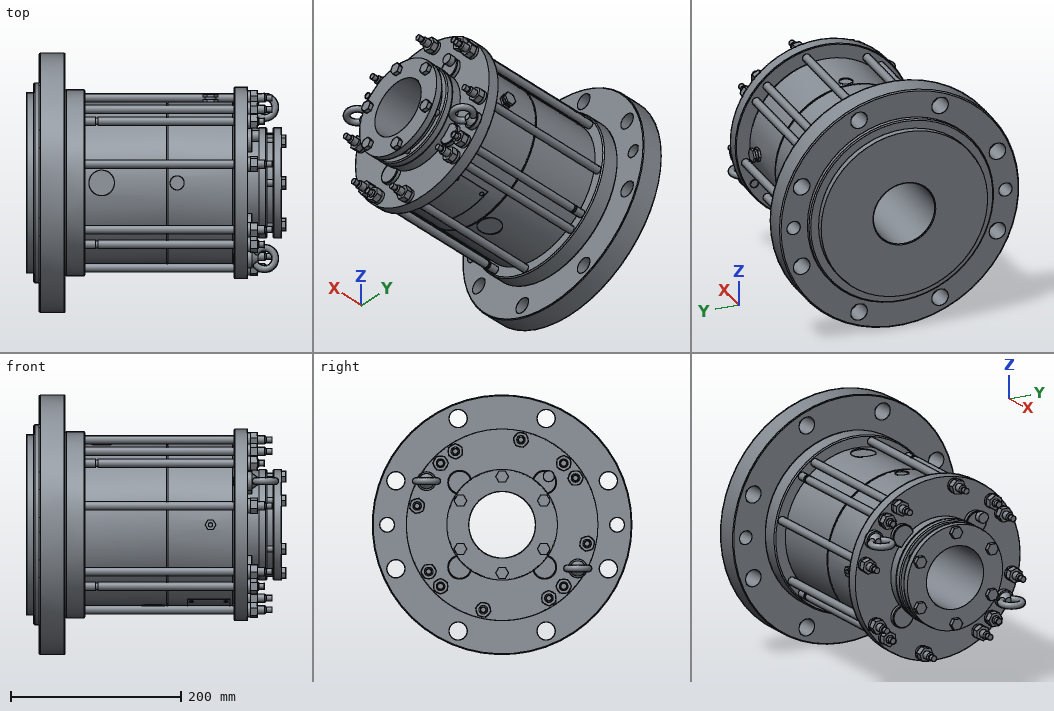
import cadquery as cq
import math


SPIGOT_END = 8.0
REGISTER_END = 14.5
FLANGE_END = 45.0
COLLAR_END = 68.5
BARREL_SPLIT = 165.0
BARREL_END = 241.7
PLATE_START = 243.5
PLATE_END = 259.2
NOSE_END = 272.5
INNER_RING_END = 282.0
NECK_END = 289.0
OUTER_RING_END = 298.87

SPIGOT_DIA = 212.0
REGISTER_DIA = 235.0
FLANGE_DIA = 305.0
COLLAR_DIA = 219.0
BARREL_DIA = 190.0
BARREL_RECESS_DIA = 186.0
PLATE_DIA = 225.0
RING_DIA = 130.0
NOSE_DIA = 128.0
NECK_DIA = 114.0
BORE_DIA = 78.0

EDGE_CHAMFER = 1.5
FINE_CHAMFER = 1.0
BORE_CHAMFER = 1.0
SPLIT_GROOVE_WIDTH = 1.2
SPLIT_GROOVE_DEPTH = 1.5

QUARTER_TURN = 90.0
DIAGONAL = 45.0
UP = 90.0
DOWN = 270.0
HEX_SIDES = 6
HEX_HALF_PITCH = 180.0 / HEX_SIDES
QUARTERS = 4

MOUNTING_CIRCLE_RADIUS = 135.0
BOLT_HOLE_DIA = 21.0
BOLT_HOLE_COUNT = 8
DOWEL_HOLE_DIA = 17.0

ROD_DIA = 10.0
ROD_CIRCLE_RADIUS = 102.2
TIE_ROD_ANGLE = 12.5
TIE_ROD_PITCH = 45.0
ROD_NUT_FLATS = 16.0
ROD_NUT_HEIGHT = 8.0
WASHER_DIA = 17.0
WASHER_THICKNESS = 3.5
ROD_CHAMFER = 1.5
TIE_ROD_END = 280.8
TIE_NECK_DIA = 6.0
TIE_TIP_DIA = 7.0
TIE_TIP_START = 281.8
TIE_TIP_END = 288.0
JACK_ROD_END = 273.0
JACK_TIP_DIA = 7.0
JACK_RIM_DIA = 8.0
JACK_RIM_THICKNESS = 0.6
JACK_TIP_END = 279.0
JACK_NECK_START = 81.0
JACK_NECK_LENGTH = 2.5
JACK_NECK_DIA = 8.0

COVER_SCREW_RADIUS = 56.5
COVER_SCREW_COUNT = 6
COVER_SCREW_DIA = 8.0
COVER_HEAD_FLATS = 13.0
COVER_HEAD_HEIGHT = 5.3

EYE_ANGLES = (150.0, -30.0)
EYE_CIRCLE_RADIUS = 102.5
EYE_BASE_DIA = 22.0
EYE_BASE_HEIGHT = 5.5
EYE_CONE_ROOT_DIA = 18.0
EYE_CONE_TIP_DIA = 8.0
EYE_CONE_HEIGHT = 7.0
EYE_RING_OUTER_DIA = 33.0
EYE_WIRE_DIA = 8.0
EYE_HEIGHT = 36.6
EYE_STUD_DIA = 10.0
EYE_STUD_PROTRUSION = 1.5

DISC_DIA = 28.0
DISC_THICKNESS = 5.5
DISC_CHAMFER = 1.0
DISC_CIRCLE_RADIUS = 70.5
CAP_SCREW_DIA = 13.0
CAP_SCREW_END = NOSE_END
CAP_SCREW_Y = 54.8
CAP_SCREW_Z = 57.0

PORT_FLAT_RADIUS = 93.5
LARGE_PORT_DIA = 30.0
SMALL_PORT_DIA = 16.5
TOP_LARGE_PORT_X = 88.0
TOP_SMALL_PORT_X = 176.6
BOTTOM_PORT_X = 148.5

PLUG_X = 215.8
NIPPLE_FLATS = 11.0
NIPPLE_TOP_RADIUS = 98.0
NIPPLE_HOLE_DIA = 4.94
NIPPLE_HOLE_DEPTH = 4.0
PLUG_FLATS = 15.0
PLUG_WAIST_DIA = 12.5
PLUG_WAIST_START = 97.7
PLUG_WAIST_END = 101.0
PLUG_TOP_RADIUS = 104.0
PLUG_ROOT_RADIUS = 90.0

NAME_PLATE_START = 188.5
NAME_PLATE_LENGTH = 50.0
NAME_PLATE_HALF_ANGLE = 23.4
NAME_PLATE_THICKNESS = 0.5
NAME_SCREW_DIA = 4.94
NAME_SCREW_HEIGHT = 0.9
NAME_SCREW_INSET = 4.7
NAME_SCREW_ANGLE = 19.7

OVERLAP = 1.0


def polar(radius, angle):
    """Point (y, z) at an angle measured from +Y towards +Z."""
    a = math.radians(angle)
    return radius * math.cos(a), radius * math.sin(a)


def corner_diameter(flats):
    """Diameter across the corners of a hexagon of the given size across flats."""
    return flats / math.cos(math.radians(HEX_HALF_PITCH))


def axial_plane(x, y=0.0, z=0.0):
    """Plane facing +X whose local axes are the part's Y and Z."""
    return cq.Workplane(cq.Plane(origin=(x, y, z), xDir=(0, 1, 0), normal=(1, 0, 0)))


def rod(dia, start, end, y=0.0, z=0.0):
    """Cylinder parallel to X."""
    return axial_plane(start, y, z).circle(dia / 2).extrude(end - start)


def hexagon(flats, start, end, y, z, vertex_angle):
    """Hexagonal prism parallel to X with one corner at vertex_angle from +Y."""
    prism = axial_plane(start, y, z).polygon(HEX_SIDES, corner_diameter(flats)).extrude(end - start)
    return prism.rotate((0, y, z), (1, y, z), vertex_angle)


def union_all(pieces):
    joined = pieces[0]
    for piece in pieces[1:]:
        joined = joined.union(piece)
    return joined


def disc_section(dia, start, end, front_chamfer=0.0, rear_chamfer=0.0):
    """Coaxial disc of the housing with optional edge chamfers."""
    section = rod(dia, start, end)
    if front_chamfer:
        section = section.faces("<X").edges().chamfer(front_chamfer)
    if rear_chamfer:
        section = section.faces(">X").edges().chamfer(rear_chamfer)
    return section


def turned_body():
    body = union_all([
        disc_section(SPIGOT_DIA, 0, SPIGOT_END),
        disc_section(REGISTER_DIA, SPIGOT_END, REGISTER_END, EDGE_CHAMFER),
        disc_section(FLANGE_DIA, REGISTER_END, FLANGE_END, EDGE_CHAMFER, FINE_CHAMFER),
        disc_section(COLLAR_DIA, FLANGE_END, COLLAR_END, EDGE_CHAMFER, EDGE_CHAMFER),
        disc_section(BARREL_DIA, COLLAR_END, BARREL_END),
        disc_section(BARREL_RECESS_DIA, BARREL_END, PLATE_START),
        disc_section(PLATE_DIA, PLATE_START, PLATE_END, FINE_CHAMFER),
        disc_section(NOSE_DIA, PLATE_END, NOSE_END),
        disc_section(RING_DIA, NOSE_END, INNER_RING_END, 0, EDGE_CHAMFER),
        disc_section(NECK_DIA, INNER_RING_END, NECK_END),
        disc_section(RING_DIA, NECK_END, OUTER_RING_END, EDGE_CHAMFER),
    ])
    groove_start = BARREL_SPLIT - SPLIT_GROOVE_WIDTH / 2
    groove = axial_plane(groove_start).circle(BARREL_DIA / 2 + OVERLAP)
    groove = groove.circle(BARREL_DIA / 2 - SPLIT_GROOVE_DEPTH).extrude(SPLIT_GROOVE_WIDTH)
    return body.cut(groove)


def cut_bore(body):
    body = body.cut(rod(BORE_DIA, 0, OUTER_RING_END))
    mouth = cq.Solid.makeCone(
        BORE_DIA / 2 + BORE_CHAMFER, BORE_DIA / 2, BORE_CHAMFER, cq.Vector(0, 0, 0), cq.Vector(1, 0, 0)
    )
    return body.cut(cq.Workplane(obj=mouth))


def cut_mounting_holes(body):
    pitch = 360 / BOLT_HOLE_COUNT
    for i in range(BOLT_HOLE_COUNT):
        y, z = polar(MOUNTING_CIRCLE_RADIUS, pitch * (i + 0.5))
        body = body.cut(rod(BOLT_HOLE_DIA, REGISTER_END, FLANGE_END, y, z))
    for side in (-1, 1):
        body = body.cut(rod(DOWEL_HOLE_DIA, REGISTER_END, FLANGE_END, side * MOUNTING_CIRCLE_RADIUS))
    return body


def cut_ports(body):
    ports = [
        (TOP_LARGE_PORT_X, LARGE_PORT_DIA, 1),
        (TOP_SMALL_PORT_X, SMALL_PORT_DIA, 1),
        (BOTTOM_PORT_X, LARGE_PORT_DIA, -1),
    ]
    for x, dia, side in ports:
        face = cq.Workplane("XY", origin=(x, 0, side * PORT_FLAT_RADIUS))
        body = body.cut(face.circle(dia / 2).extrude(side * (BARREL_DIA / 2 - PORT_FLAT_RADIUS + OVERLAP)))
    return body


def rod_nut(y, z, vertex_angle):
    nut_start = PLATE_END + WASHER_THICKNESS
    washer = rod(WASHER_DIA, PLATE_END, nut_start, y, z)
    return washer.union(hexagon(ROD_NUT_FLATS, nut_start, nut_start + ROD_NUT_HEIGHT, y, z, vertex_angle))


def tie_rod(angle):
    y, z = polar(ROD_CIRCLE_RADIUS, angle)
    shaft = rod(ROD_DIA, COLLAR_END - OVERLAP, TIE_ROD_END, y, z).faces(">X").chamfer(ROD_CHAMFER)
    neck = rod(TIE_NECK_DIA, TIE_ROD_END - OVERLAP, TIE_TIP_START, y, z)
    tip = rod(TIE_TIP_DIA, TIE_TIP_START, TIE_TIP_END, y, z)
    return shaft.union(rod_nut(y, z, angle + HEX_HALF_PITCH)).union(neck).union(tip)


def jacking_rod(angle):
    y, z = polar(ROD_CIRCLE_RADIUS, angle)
    shaft = rod(ROD_DIA, COLLAR_END - OVERLAP, JACK_ROD_END, y, z).faces(">X").chamfer(ROD_CHAMFER)
    neck = axial_plane(JACK_NECK_START, y, z).circle(ROD_DIA).circle(JACK_NECK_DIA / 2)
    neck = neck.extrude(JACK_NECK_LENGTH)
    tip = rod(JACK_TIP_DIA, JACK_ROD_END - OVERLAP, JACK_TIP_END, y, z)
    rim = rod(JACK_RIM_DIA, JACK_TIP_END - JACK_RIM_THICKNESS, JACK_TIP_END, y, z)
    return shaft.cut(neck).union(rod_nut(y, z, angle + DIAGONAL)).union(tip).union(rim)


def rods():
    pieces = []
    for quarter in range(QUARTERS):
        turn = QUARTER_TURN * quarter
        pieces.append(tie_rod(turn - TIE_ROD_ANGLE))
        pieces.append(tie_rod(turn - TIE_ROD_ANGLE + TIE_ROD_PITCH))
        pieces.append(jacking_rod(turn + DIAGONAL))
    return pieces


def cover_screw(angle):
    y, z = polar(COVER_SCREW_RADIUS, angle)
    shank = rod(COVER_SCREW_DIA, INNER_RING_END - OVERLAP, NECK_END + OVERLAP, y, z)
    head = hexagon(COVER_HEAD_FLATS, OUTER_RING_END, OUTER_RING_END + COVER_HEAD_HEIGHT, y, z, 0)
    return shank.union(head)


def eyebolt(angle):
    y, z = polar(EYE_CIRCLE_RADIUS, angle)
    base = rod(EYE_BASE_DIA, PLATE_END, PLATE_END + EYE_BASE_HEIGHT, y, z)
    stud = rod(EYE_STUD_DIA, PLATE_START - EYE_STUD_PROTRUSION, PLATE_END, y, z)
    cone = cq.Solid.makeCone(
        EYE_CONE_ROOT_DIA / 2, EYE_CONE_TIP_DIA / 2, EYE_CONE_HEIGHT,
        cq.Vector(PLATE_END + EYE_BASE_HEIGHT, y, z), cq.Vector(1, 0, 0)
    )
    ring_x = PLATE_END + EYE_HEIGHT - EYE_RING_OUTER_DIA / 2
    ring = cq.Solid.makeTorus(
        (EYE_RING_OUTER_DIA - EYE_WIRE_DIA) / 2, EYE_WIRE_DIA / 2, cq.Vector(ring_x, y, z), cq.Vector(0, 0, 1)
    )
    ring = cq.Workplane(obj=ring).rotate((ring_x, y, z), (ring_x, y, z + 1), 180)
    return base.union(stud).union(cq.Workplane(obj=cone)).union(ring)


def rear_fittings():
    pieces = [cover_screw(UP + i * 360 / COVER_SCREW_COUNT) for i in range(COVER_SCREW_COUNT)]
    pieces += [eyebolt(angle) for angle in EYE_ANGLES]
    for quarter in range(QUARTERS):
        y, z = polar(DISC_CIRCLE_RADIUS, DIAGONAL + QUARTER_TURN * quarter)
        disc = rod(DISC_DIA, PLATE_END, PLATE_END + DISC_THICKNESS, y, z)
        pieces.append(disc.faces(">X").edges().chamfer(DISC_CHAMFER))
    pieces.append(rod(CAP_SCREW_DIA, PLATE_END + DISC_THICKNESS, CAP_SCREW_END, CAP_SCREW_Y, CAP_SCREW_Z))
    return pieces


def side_hexagon(flats, top_radius, side):
    """Hexagonal plug standing radially on the +Y (side = 1) or -Y (side = -1) flank of the barrel."""
    base = cq.Workplane("XZ", origin=(PLUG_X, side * PLUG_ROOT_RADIUS, 0))
    return base.polygon(HEX_SIDES, corner_diameter(flats)).extrude(-side * (top_radius - PLUG_ROOT_RADIUS))


def nipple():
    body = side_hexagon(NIPPLE_FLATS, NIPPLE_TOP_RADIUS, -1)
    mouth = cq.Workplane("XZ", origin=(PLUG_X, -NIPPLE_TOP_RADIUS, 0))
    return body.cut(mouth.circle(NIPPLE_HOLE_DIA / 2).extrude(-NIPPLE_HOLE_DEPTH))


def name_plate():
    inner = BARREL_DIA / 2
    outer = inner + NAME_PLATE_THICKNESS
    first = DOWN - NAME_PLATE_HALF_ANGLE
    last = DOWN + NAME_PLATE_HALF_ANGLE
    root = inner - OVERLAP
    profile = axial_plane(NAME_PLATE_START).moveTo(*polar(root, first)).lineTo(*polar(outer, first))
    profile = profile.threePointArc(polar(outer, DOWN), polar(outer, last)).lineTo(*polar(root, last))
    plate = profile.threePointArc(polar(root, DOWN), polar(root, first)).close().extrude(NAME_PLATE_LENGTH)
    first_screw_x = NAME_PLATE_START + NAME_SCREW_INSET
    last_screw_x = NAME_PLATE_START + NAME_PLATE_LENGTH - NAME_SCREW_INSET
    for x in (first_screw_x, last_screw_x):
        for angle in (-NAME_SCREW_ANGLE, NAME_SCREW_ANGLE):
            screw = cq.Workplane("XY", origin=(x, 0, -root)).circle(NAME_SCREW_DIA / 2)
            screw = screw.extrude(-(OVERLAP + NAME_SCREW_HEIGHT))
            plate = plate.union(screw.rotate((0, 0, 0), (1, 0, 0), angle))
    return plate


def waisted_plug():
    waist = cq.Workplane("XZ", origin=(PLUG_X, PLUG_WAIST_START, 0))
    waist = waist.circle(PLUG_FLATS).circle(PLUG_WAIST_DIA / 2)
    waist = waist.extrude(-(PLUG_WAIST_END - PLUG_WAIST_START))
    return side_hexagon(PLUG_FLATS, PLUG_TOP_RADIUS, 1).cut(waist)


housing = cut_ports(cut_mounting_holes(cut_bore(turned_body())))
result = union_all([housing, *rods(), *rear_fittings(), waisted_plug(), nipple(), name_plate()])